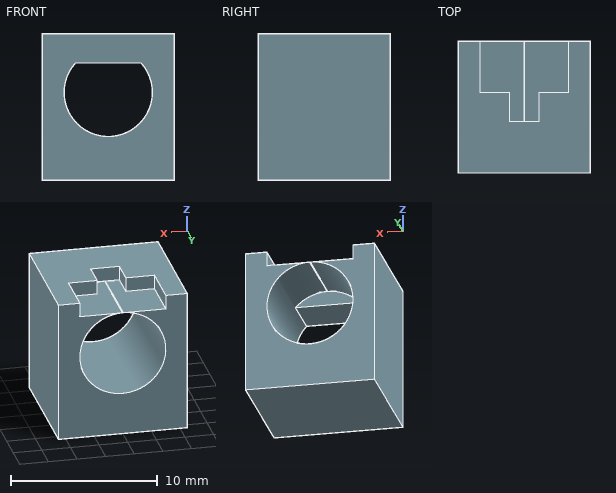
import cadquery as cq

width = 9
depth = 9
height = 10
back_y = depth / 2

bore_diameter = 6
bore_radius = bore_diameter / 2
bore_center_z = 6
flat_z = 8

pocket_depth = 1
pocket_floor_z = height - pocket_depth
wide_width = bore_diameter
wide_length = 3.5
narrow_width = 2
narrow_length = 5.5

round_bore_length = narrow_length

slit_width = 0.03
slit_overlap = 0.1


def box_from_back(size_x, length, bottom_z, top_z):
    """Box centered on X that runs forward from the back face."""
    return (
        cq.Workplane("XY")
        .workplane(offset=bottom_z)
        .center(0, back_y - length / 2)
        .rect(size_x, length)
        .extrude(top_z - bottom_z)
    )


def round_bore(length):
    """Cylinder that runs forward from the back face."""
    return (
        cq.Workplane("XZ", origin=(0, back_y, bore_center_z))
        .circle(bore_radius)
        .extrude(length)
    )


def make_bore():
    """Round bore at the back, joined to a bore with a flat roof right through."""
    below_flat = box_from_back(width, depth, 0, flat_z)
    d_bore = round_bore(depth).intersect(below_flat)
    return d_bore, round_bore(round_bore_length)


def make_pocket():
    """Wide pocket at the back with a narrow extension to the front."""
    wide = box_from_back(wide_width, wide_length, pocket_floor_z, height)
    narrow = box_from_back(narrow_width, narrow_length, pocket_floor_z, height)
    return wide.union(narrow)


block = box_from_back(width, depth, 0, height)
d_bore, back_bore = make_bore()
slit = box_from_back(slit_width, narrow_length, pocket_floor_z - slit_overlap, height)

result = block.cut(make_pocket().union(slit)).cut(d_bore).cut(back_bore)